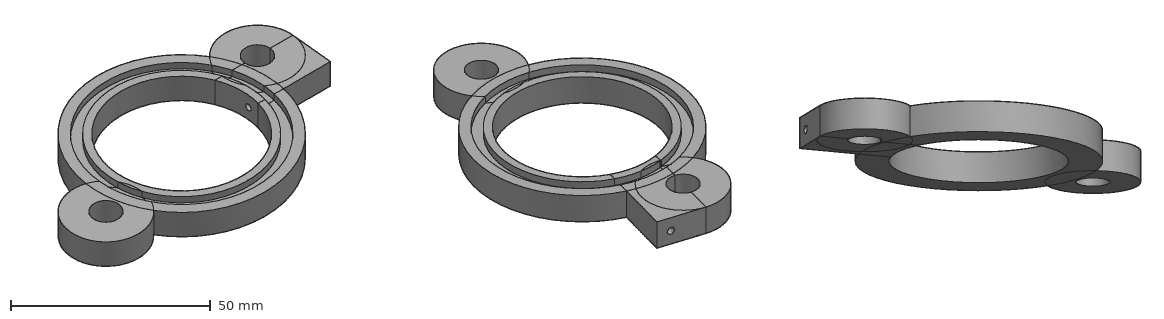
import cadquery as cq

thickness = 8.0
ring_diameter = 62.0
bore_diameter = 45.0
groove_outer_diameter = 55.8
groove_inner_diameter = 49.6
groove_depth = 2.0

length = 96.0
lug_diameter = 24.0
lug_hole_diameter = 8.5
lug_offset = (length - lug_diameter) / 2

block_tilt = 16.0
block_width = 14.0
block_length = lug_diameter / 2 + lug_offset
passage_diameter = 2.0
passage_offset = 10.0


def disc(diameter, y=0.0):
    """Full-thickness disc standing on Z = 0, centred on the Y axis."""
    return cq.Workplane("XY").center(0, y).circle(diameter / 2).extrude(thickness)


def groove():
    """Annular groove sunk into the top face."""
    return (
        cq.Workplane("XY")
        .workplane(offset=thickness - groove_depth)
        .circle(groove_outer_diameter / 2)
        .circle(groove_inner_diameter / 2)
        .extrude(groove_depth)
    )


def place_at_upper_lug(shape):
    """Tilt a shape built along Y about the upper lug axis."""
    return shape.rotate((0, 0, 0), (0, 0, 1), -block_tilt).translate((0, lug_offset, 0))


def block_envelope():
    """Tilted bar that starts level with the lug's outer edge and runs into the bore."""
    bar = (
        cq.Workplane("XY")
        .moveTo(0, lug_diameter / 2)
        .rect(block_width, -block_length, centered=False)
        .extrude(thickness)
    )
    return place_at_upper_lug(bar)


def passage():
    """Small hole along the block, from its end face to the bore."""
    hole = (
        cq.Workplane("XZ", origin=(passage_offset, lug_diameter / 2, thickness / 2))
        .circle(passage_diameter / 2)
        .extrude(block_length)
    )
    return place_at_upper_lug(hole)


def finish(shape):
    """Cut the bore, groove, lug holes and passage that the bodies share, and take the one solid left."""
    shape = shape.cut(disc(bore_diameter)).cut(groove()).cut(passage())
    for y in (lug_offset, -lug_offset):
        shape = shape.cut(disc(lug_hole_diameter, y))
    return shape.solids().val()


ring_disc = disc(ring_diameter)
upper_disc = disc(lug_diameter, lug_offset)
lower_disc = disc(lug_diameter, -lug_offset)
block = block_envelope()


def outside_ring(footprint):
    """Body standing outside the ring's outer wall."""
    return finish(footprint.cut(ring_disc))


def inside_ring(footprint):
    """Body filling the gap that the footprint leaves in the ring."""
    return finish(footprint.intersect(ring_disc))


ring = finish(ring_disc.cut(upper_disc).cut(lower_disc).cut(block))

lower_lug = outside_ring(lower_disc)
lower_lug_insert = inside_ring(lower_disc)

free_half = upper_disc.cut(block)
upper_lug_free_half = outside_ring(free_half)
upper_lug_free_insert = inside_ring(free_half)

block_half = upper_disc.intersect(block)
upper_lug_block_half = outside_ring(block_half)
upper_lug_block_insert = inside_ring(block_half)

block_remainder = block.cut(upper_disc)
corner_block = outside_ring(block_remainder)
corner_block_insert = inside_ring(block_remainder)

result = cq.Compound.makeCompound([
    ring,
    lower_lug,
    lower_lug_insert,
    upper_lug_free_half,
    upper_lug_free_insert,
    upper_lug_block_half,
    upper_lug_block_insert,
    corner_block,
    corner_block_insert,
])